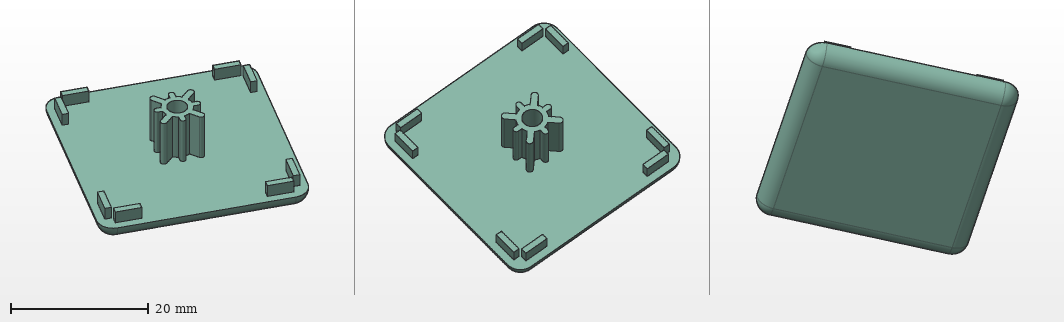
import cadquery as cq

plate_side = 32.0
plate_height = 2.5
edge_radius = plate_height
flat_side = plate_side - 2 * edge_radius

tab_length = 4.0
tab_thickness = 1.0
tab_height = 2.0
tab_inset = 1.25

total_height = 10.0
hub_height = total_height - plate_height
hub_radius = 2.4
bore_diameter = 3.0
straight_fin_width = 0.93
straight_fin_reach = 3.5
diagonal_fin_width = 1.05
diagonal_fin_reach = 4.5


def make_plate():
    """Flat square core bordered by rolled edges and spherical corners."""
    half_flat = flat_side / 2
    plate = cq.Workplane("XY").rect(flat_side, flat_side).extrude(plate_height)
    edge = (
        cq.Workplane("XZ", origin=(0, half_flat, 0))
        .moveTo(half_flat, 0)
        .radiusArc((half_flat + edge_radius, plate_height), -edge_radius)
        .lineTo(half_flat, plate_height)
        .close()
        .extrude(flat_side)
    )
    corner = (
        cq.Workplane("XZ", origin=(half_flat, half_flat, 0))
        .moveTo(0, 0)
        .radiusArc((edge_radius, plate_height), -edge_radius)
        .lineTo(0, plate_height)
        .close()
        .revolve(90, (0, 0), (0, 1))
    )
    for angle in range(0, 360, 90):
        for piece in (edge, corner):
            plate = plate.union(piece.rotate((0, 0, 0), (0, 0, 1), angle))
    return plate


def make_tabs():
    """Pairs of upright tabs along each side, starting where the corner rounds end."""
    along = flat_side / 2 - tab_length / 2
    across = plate_side / 2 - tab_inset - tab_thickness / 2
    side_x = [(sx * across, sy * along) for sx in (-1, 1) for sy in (-1, 1)]
    side_y = [(y, x) for x, y in side_x]
    top = cq.Workplane("XY", origin=(0, 0, plate_height))
    tabs = top.pushPoints(side_x).rect(tab_thickness, tab_length).extrude(tab_height)
    return tabs.union(top.pushPoints(side_y).rect(tab_length, tab_thickness).extrude(tab_height))


def make_hub():
    """Bored cylinder with round-ended fins, longer on the diagonals."""
    top = cq.Workplane("XY", origin=(0, 0, plate_height))
    hub = top.circle(hub_radius).extrude(hub_height)
    fins = (
        (0, straight_fin_reach, straight_fin_width),
        (45, diagonal_fin_reach, diagonal_fin_width),
    )
    for first_angle, reach, width in fins:
        for angle in (first_angle, first_angle + 90):
            hub = hub.union(top.slot2D(2 * reach, width, angle).extrude(hub_height))
    return hub.cut(top.circle(bore_diameter / 2).extrude(hub_height))


result = make_plate().union(make_tabs()).union(make_hub())